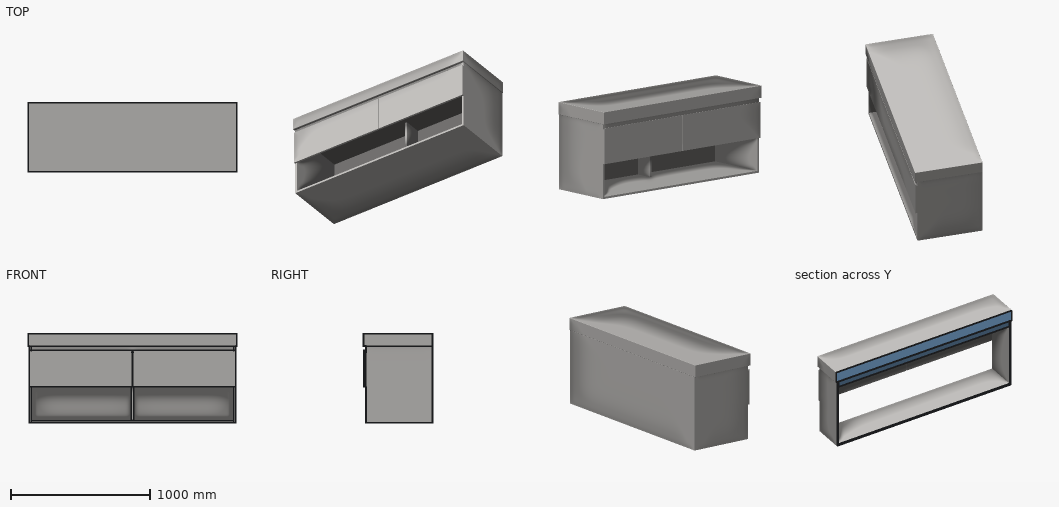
import cadquery as cq

top_width = 1500.0
top_depth = 500.0
total_height = 640.0

top_thickness = 90.0
top_edge_radius = 2.0
cabinet_width = 1485.0
cabinet_depth = 480.0
board = 15.0
cabinet_height = total_height - top_thickness
inner_width = cabinet_width - 2 * board

front_bottom = 258.0
front_height = 262.0
front_thickness = 15.0
front_top_flat = 3.0
front_face_inset = 5.0
front_gap = 5.0
front_width = (cabinet_width - front_gap) / 2
front_face_y = -top_depth + front_face_inset

top_board = 45.0
divider_depth = 150.0


def box(size_x, size_y, size_z, center_x, front_y, bottom_z):
    """Box centred on center_x, running back from front_y and up from bottom_z."""
    return (
        cq.Workplane("XY")
        .box(size_x, size_y, size_z, centered=(True, False, False))
        .translate((center_x, front_y, bottom_z))
    )


def make_countertop():
    """Slab with every edge slightly rounded."""
    slab = box(top_width, top_depth, top_thickness, 0, -top_depth, cabinet_height)
    return slab.edges().fillet(top_edge_radius)


def make_side_panel(side):
    center_x = side * (cabinet_width - board) / 2
    return box(board, cabinet_depth, cabinet_height, center_x, -cabinet_depth, 0)


def make_bottom_panel():
    return box(inner_width, cabinet_depth, board, 0, -cabinet_depth, 0)


def make_inner_frame():
    """Back and top boards in an L, stiffened by a central divider at the rear."""
    frame_height = cabinet_height - board
    top_board_bottom = cabinet_height - top_board
    back = box(inner_width, board, frame_height, 0, -board, board)
    top = box(inner_width, cabinet_depth, top_board, 0, -cabinet_depth, top_board_bottom)
    divider = box(board, divider_depth, frame_height, 0, -divider_depth, board)
    return back.union(top).union(divider)


def make_drawer_front(side):
    """Panel with a narrow top lip, then sloping down to the rear at 45 degrees as a finger pull."""
    left_x = side * (front_width + front_gap) / 2 - front_width / 2
    front_top = front_bottom + front_height
    rear_y = front_face_y + front_thickness
    slope_drop = front_thickness - front_top_flat
    return (
        cq.Workplane("YZ", origin=(left_x, 0, 0))
        .moveTo(front_face_y, front_bottom)
        .lineTo(rear_y, front_bottom)
        .lineTo(rear_y, front_top - slope_drop)
        .lineTo(front_face_y + front_top_flat, front_top)
        .lineTo(front_face_y, front_top)
        .close()
        .extrude(front_width)
    )


countertop = make_countertop()
bottom_panel = make_bottom_panel()
inner_frame = make_inner_frame()
side_panels = [make_side_panel(side) for side in (-1, 1)]
drawer_fronts = [make_drawer_front(side) for side in (-1, 1)]

result = cq.Compound.makeCompound(
    [
        countertop.val(),
        bottom_panel.val(),
        inner_frame.val(),
        *[panel.val() for panel in side_panels],
        *[front.val() for front in drawer_fronts],
    ]
)